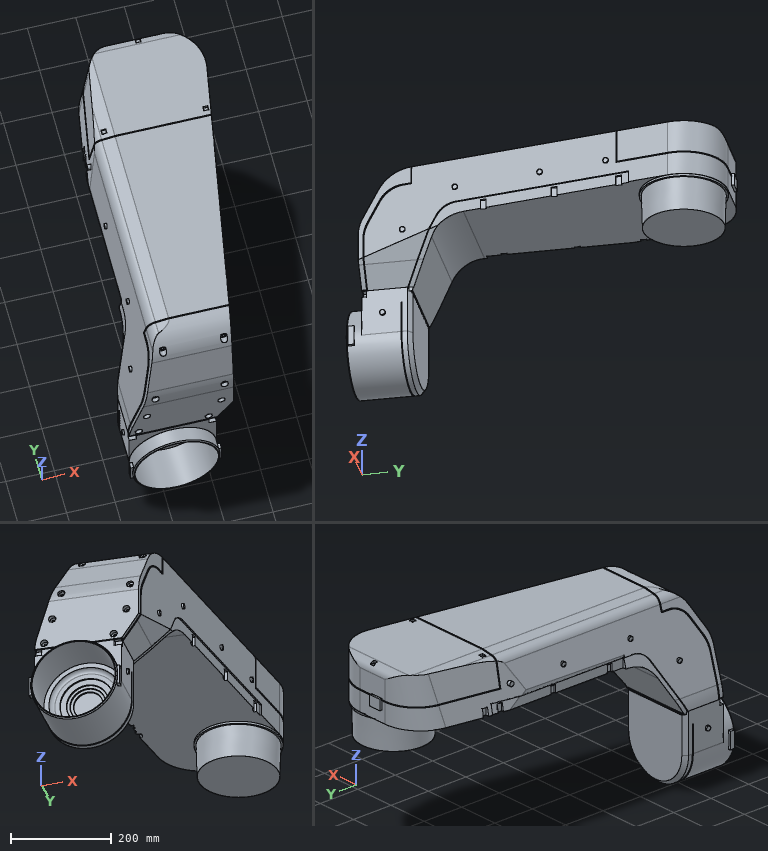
import cadquery as cq
import math


cup_radius = 90.0
cup_floor_y = 89.0
front_y = 32.0
wrist_back_y = 134.5
wrist_top_z = 98.0
wrist_chamfer = 9.5
wrist_core_z = 87.5
cup_bore_radius = 86.0
cup_rim_chamfer = 2.0
cup_dish_radius = 76.0
cup_dish_floor_radius = 66.0
cup_dish_steps = [(56.0, 3.0), (43.0, 6.0), (37.0, 9.5), (30.0, 13.0)]

top_z = 338.0
underside_z = 220.0
ledge_z = 243.5
elbow_slope = 60
elbow_radius = 79.5
elbow_foot_z = 93.0
brow_z = 225.0
brow_radius = 72.0

head_x = 149.0
head_radius = 90.0
rear_y = 790.5
head_y = rear_y - head_radius
rear_edge_radius = 20.0
rear_left_radius_low = 95.5
rear_left_radius_high = 68.0
taper = 9.7
head_lean = 11.3
head_left_x = -22.0
spout_radius_top = 85.0
spout_radius_bottom = 83.0
spout_bottom_z = 143.0
collar_radius = 89.0
collar_height = 5.0

left_foot_z = 111.5
left_foot_radius = 119.5
left_top = (-22.0, 332.0)
left_margin_x = 20.0
left_edge_radius = 24.0
lower_wall_start = (-48.0, 259.5)
lower_wall_end = (-46.0, 561.0)

flare_middle = (120.0, 142.0)
flare_top = (153.0, 195.0)

ledge_end_y = 602.5
ledge_back_y = 123.0
ledge_radius = 48.0
ledge_inset = 3.0

seam_width = 1.5
seam_depth = 1.2
front_seam_y = 145.0
front_seam_z = 301.0
front_seam_margin = 12.0
front_seam_radius = 56.0
rear_seam_y = 578.0
rear_seam_z = 270.0

tab_x = cup_radius + 4.0
cup_tab_y = (5.0, 17.0)
cup_tab_z = (-21.0, 21.0)
rear_tab_x = (83.0, 113.0)
rear_tab_y = 796.0
rear_tab_z = (247.5, 273.0)
back_seam_y = 112.0
back_seam_top_z = 65.0
wrist_notch_x = 75.0
wrist_notch_y = (front_y, front_y + 9.5)
wrist_notch_z = (84.0, wrist_top_z)
front_screws = [
    (-6.0, 314.0), (119.5, 314.0),
    (-35.0, 222.0), (107.5, 222.0),
    (-53.0, 165.0), (100.0, 165.0),
    (-70.0, 111.5), (74.0, 111.5),
]
front_screw_radius = 7.0
front_screw_depth = 9.5
front_socket_radius = 3.0
front_socket_depth = 5.0
side_screws = [(555.0, 275.5), (415.5, 275.5), (236.5, 275.5), (126.0, 200.5)]
wrist_screw = (75.0, 45.0)
side_screw_radius = 5.5
side_screw_height = 3.0
clip_notches = [295.0, 445.0, 581.0, 618.0]
clip_notch_width = 12.0
clip_notch_height = 19.0
clip_notch_depth = 8.0
top_pockets = [(-3.0, 589.0), (207.0, 589.0), (115.0, 774.5)]
top_pocket_size = 9.5
top_pocket_depth = 6.0

far = 278.5
slope_tan = math.tan(math.radians(elbow_slope))
taper_tan = math.tan(math.radians(taper))


def rounded(plane, corners):
    """Closed outline through (u, v, radius) corners; a radius of 0 leaves the corner sharp."""
    path = None
    for i, (u, v, radius) in enumerate(corners):
        corner = cq.Vector(u, v)
        to_last = (cq.Vector(*corners[i - 1][:2]) - corner).normalized()
        to_next = (cq.Vector(*corners[(i + 1) % len(corners)][:2]) - corner).normalized()
        half = to_last.getAngle(to_next) / 2
        reach = radius / math.tan(half)
        first = corner + to_last * reach
        last = corner + to_next * reach
        path = path.lineTo(first.x, first.y) if path else cq.Workplane(plane).moveTo(first.x, first.y)
        if radius:
            middle = corner + (to_last + to_next).normalized() * (radius / math.sin(half) - radius)
            path = path.threePointArc((middle.x, middle.y), (last.x, last.y))
    return path.close()


def cylinder_y(x, z, radius, y_start, y_end):
    """Cylinder along Y."""
    return cq.Workplane("XZ", origin=(x, y_start, z)).circle(radius).extrude(y_start - y_end)


def block(x_range, y_range, z_range):
    """Box between the given limits."""
    spans = [b - a for a, b in (x_range, y_range, z_range)]
    return cq.Workplane("XY").box(*spans, centered=False).translate((x_range[0], y_range[0], z_range[0]))


def right_wall_x(y):
    """Right wall in plan: the tangent to the head circle at the taper angle."""
    return head_x + head_radius / math.cos(math.radians(taper)) + (y - head_y) * taper_tan


def left_wall_x(z):
    """Left wall of the arm, leaning from the wrist corner up to the top edge."""
    share = (z - left_foot_z) / (left_top[1] - left_foot_z)
    return -cup_radius + share * (left_top[0] + cup_radius)


def front_wall_y(z):
    """Front face of the elbow, before its edges are rounded."""
    return front_y + max(0, z - brow_z) / slope_tan



def side_profile(bottom, inset):
    """Y-Z outline, given the corners along its underside."""
    front = [
        (front_y, wrist_core_z, 0),
        (front_y, brow_z, brow_radius),
        (front_wall_y(top_z), top_z, elbow_radius),
        (rear_y, top_z, rear_edge_radius),
        (rear_y, underside_z, 0),
    ]
    outline = rounded("YZ", front + bottom)
    if inset:
        outline = outline.offset2D(-inset, "intersection")
    return outline.extrude(far, both=True)


def underside(back_y, z, radius):
    """Corners from the flat underside down the back of the elbow."""
    return [
        (back_y + (z - elbow_foot_z) / slope_tan, z, radius),
        (back_y, elbow_foot_z, 0),
        (back_y, wrist_core_z, 0),
    ]


def front_profile(inset):
    """X-Z outline: leaning left wall, flat top, and the flare at the lower right."""
    right_x = head_x + head_radius + 8
    outline = rounded("XZ", [
        (-cup_radius, wrist_core_z, 0),
        (-cup_radius, left_foot_z, left_foot_radius),
        (left_top[0], left_top[1], left_edge_radius),
        (left_margin_x, top_z, 0),
        (right_x, top_z, 0),
        (right_x, flare_top[1], 0),
        (*flare_top, 0),
        (*flare_middle, 0),
        (cup_radius, wrist_top_z, 0),
        (cup_radius, wrist_core_z, 0),
    ])
    if inset:
        outline = outline.offset2D(-inset, "intersection")
    return outline.extrude(-rear_y - 8)


def plan_outline(z, inset):
    """X-Y outline of the tapered arm and its round head at one height."""
    share = (z - underside_z) / (top_z - underside_z)
    corner_radius = rear_left_radius_low + share * (rear_left_radius_high - rear_left_radius_low)
    left_x = head_left_x + (z - underside_z) * math.tan(math.radians(head_lean)) - head_y * taper_tan
    outline = rounded("XY", [
        (left_x, 0, 0),
        (left_x + rear_y * taper_tan, rear_y, corner_radius),
        (right_wall_x(rear_y), rear_y, head_radius),
        (right_wall_x(0), 0, 0),
    ])
    if inset:
        outline = outline.offset2D(-inset, "intersection")
    return cq.Wire.assembleEdges(outline.wires().val().Edges()).translate(cq.Vector(0, 0, z))


def plan_profile(inset):
    """Body between the low and the high plan outline, with the upright lower left wall cut in."""
    body = cq.Solid.makeLoft([plan_outline(wrist_core_z - 8, inset), plan_outline(top_z + 8, inset)], True)
    lower_wall = (
        cq.Workplane("XY")
        .moveTo(-far, lower_wall_start[1])
        .lineTo(lower_wall_start[0] + inset, lower_wall_start[1])
        .lineTo(lower_wall_end[0] + inset, lower_wall_end[1])
        .lineTo(-far, lower_wall_end[1])
        .close()
        .extrude(top_z)
    )
    return cq.Workplane(body).cut(lower_wall)


def arm(bottom, wall_inset=0, edge_inset=0):
    """Arm over the given underside; the side walls and the Y-Z outline may be moved inward."""
    side = side_profile(bottom, edge_inset)
    return side.intersect(front_profile(wall_inset)).intersect(plan_profile(wall_inset))


ledge_step = [(ledge_end_y, underside_z, 0), (ledge_end_y, ledge_z, 0)]
upper_bottom = ledge_step + underside(ledge_back_y, ledge_z, ledge_radius)
lower_bottom = underside(wrist_back_y, underside_z, elbow_radius)
outer_arm = arm(upper_bottom)
inner_arm = arm(lower_bottom, ledge_inset)

result = outer_arm.union(inner_arm)



def wrist_slot(half_width, y_start, y_end):
    """Upright slot shape around the cup: round below, square above."""
    square = block((-half_width, half_width), (y_start, y_end), (0, wrist_top_z))
    return cylinder_y(0, 0, half_width, y_start, y_end).union(square)


wrist_box = wrist_slot(cup_radius, front_y, wrist_back_y).faces(">Y").chamfer(wrist_chamfer)
cup = cylinder_y(0, 0, cup_radius, 0, front_y + 8).faces("<Y").chamfer(cup_rim_chamfer)
cup_tabs = block((-tab_x, tab_x), cup_tab_y, cup_tab_z)
wrist_screws = (
    cq.Workplane("YZ", origin=(0, *wrist_screw))
    .circle(side_screw_radius)
    .extrude(tab_x, both=True)
)
result = result.union(wrist_box).union(cup).union(cup_tabs).union(wrist_screws)

dish_depth = cup_dish_radius - cup_dish_floor_radius
dish_floor_y = cup_floor_y + dish_depth
bore = (
    cq.Workplane("XY")
    .lineTo(cup_bore_radius, 0)
    .lineTo(cup_bore_radius, cup_floor_y)
    .lineTo(cup_dish_radius, cup_floor_y)
    .radiusArc((cup_dish_floor_radius, dish_floor_y), -dish_depth)
    .lineTo(0, dish_floor_y)
    .close()
    .revolve(360, (0, 0, 0), (0, 1, 0))
)
result = result.cut(bore)
for radius, depth in cup_dish_steps:
    result = result.cut(cylinder_y(0, 0, radius, cup_floor_y, dish_floor_y + depth))

back_seam = (
    wrist_slot(cup_radius + 8, back_seam_y, back_seam_y + seam_width)
    .cut(wrist_slot(cup_radius - seam_depth, back_seam_y, back_seam_y + seam_width))
    .intersect(block((-far, far), (0, wrist_back_y), (-far, back_seam_top_z)))
)
result = result.cut(back_seam)

for x_range in [(-far, -wrist_notch_x), (wrist_notch_x, far)]:
    result = result.cut(block(x_range, wrist_notch_y, wrist_notch_z))



spout_length = underside_z - spout_bottom_z
spout_draft = math.degrees(math.atan((spout_radius_top - spout_radius_bottom) / spout_length))
spout_base = cq.Workplane("XY", origin=(head_x, head_y, underside_z))
spout = spout_base.circle(spout_radius_top).extrude(-spout_length, taper=spout_draft)
collar = spout_base.circle(collar_radius).extrude(-collar_height)
result = result.union(spout).union(collar)

result = result.union(block(rear_tab_x, (head_y, rear_tab_y), rear_tab_z))



def front_panel(margin):
    """Front cover of the elbow: everything within the given margin of its front face."""
    shift = margin - front_seam_margin
    lean_y = front_y + margin
    knee_z = brow_z - margin
    corner_z = front_seam_z - shift
    turn_y = lean_y + (corner_z - knee_z) / slope_tan
    return rounded("YZ", [
        (0, wrist_top_z - shift, 0),
        (lean_y, wrist_top_z - shift, 0),
        (lean_y, knee_z, brow_radius),
        (turn_y, corner_z, front_seam_radius),
        (front_seam_y + shift, corner_z, 0),
        (front_seam_y + shift, top_z + 8, 0),
        (0, top_z + 8, 0),
    ]).extrude(far, both=True)


def head_panel(margin):
    """Upper cover of the head, grown by the given margin."""
    return block((-far, far), (rear_seam_y - margin, rear_y + 8), (rear_seam_z - margin, top_z + 8))


skin = outer_arm.cut(arm(lower_bottom, seam_depth, seam_depth))
for inner, outer in [
    (front_panel(front_seam_margin - seam_width), front_panel(front_seam_margin)),
    (head_panel(0), head_panel(seam_width)),
]:
    result = result.cut(skin.intersect(outer.cut(inner)))



for x, z in front_screws:
    y = front_wall_y(z)
    result = result.cut(cylinder_y(x, z, front_screw_radius, 0, y + front_screw_depth))
    result = result.cut(cylinder_y(x, z, front_socket_radius, y, y + front_screw_depth + front_socket_depth))

for y, z in side_screws:
    heads = (
        cq.Workplane("YZ", origin=(left_wall_x(z) - side_screw_height, y, z))
        .circle(side_screw_radius)
        .extrude(right_wall_x(y) - left_wall_x(z) + 2 * side_screw_height)
    )
    result = result.union(heads)

for y in clip_notches:
    y_range = (y - clip_notch_width / 2, y + clip_notch_width / 2)
    z_range = (underside_z, underside_z + clip_notch_height)
    edge_x = max(lower_wall_start[0], head_left_x + (y - head_y) * taper_tan)
    result = result.cut(block((-far, edge_x + clip_notch_depth), y_range, z_range))
    if y < ledge_end_y:
        result = result.cut(block((right_wall_x(y) - clip_notch_depth, far), y_range, z_range))

for x, y in top_pockets:
    pocket = block((x, x + top_pocket_size), (y, y + top_pocket_size), (top_z - top_pocket_depth, top_z + 8))
    result = result.cut(pocket)